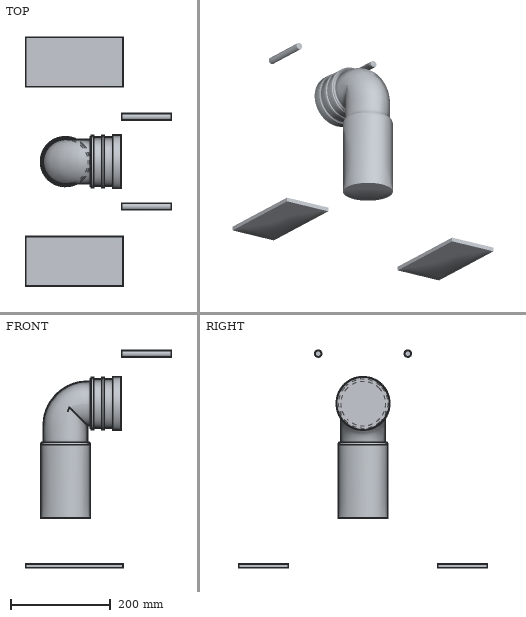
import cadquery as cq

BEND_DIAMETER = 89.5
BEND_RADIUS = 45.0

INLET_DIAMETER = 100.0
INLET_BOTTOM = -230.5
INLET_SHOULDER = -78.0
INLET_CHAMFER_HEIGHT = 5.0
INLET_CHAMFER_INSET = 2.0

SOCKET_DIAMETER = 99.0
SOCKET_START = 50.0
SOCKET_END = 112.0
RIB_DIAMETER = 105.0
RIB_WIDTH = 5.0
RIB_STARTS = (52.0, 73.0)
COLLAR_DIAMETER = 107.45
COLLAR_LENGTH = 17.0

ROD_DIAMETER = 13.5
ROD_LENGTH = 100.0
ROD_START = 113.0
ROD_SPACING = 180.0
ROD_HEIGHT = 100.0

OVERALL_LENGTH = 293.25
PLATE_LENGTH = 196.0
PLATE_WIDTH = 100.0
PLATE_THICKNESS = 8.0
PLATE_START = ROD_START + ROD_LENGTH - OVERALL_LENGTH
PLATE_SPACING = 400.0
PLATE_DROP = 100.0


def bar_along_x(diameter, start, end):
    """Round bar on the X axis between two X positions."""
    return cq.Workplane("YZ").workplane(offset=start).circle(diameter / 2).extrude(end - start)


def bar_along_z(diameter, bottom, top):
    """Round bar on the Z axis between two heights."""
    return cq.Workplane("XY").workplane(offset=bottom).circle(diameter / 2).extrude(top - bottom)


def make_bend():
    """Quarter bend: rounded outside, with the two straight pipes meeting in a miter inside."""
    upright = bar_along_z(BEND_DIAMETER, -BEND_RADIUS, BEND_DIAMETER)
    level = bar_along_x(BEND_DIAMETER, -BEND_DIAMETER, BEND_RADIUS)
    center_line = cq.Workplane("XZ").moveTo(0, -BEND_RADIUS).radiusArc((BEND_RADIUS, 0), BEND_RADIUS)
    swept_bend = (
        cq.Workplane("XY", origin=(0, 0, -BEND_RADIUS))
        .circle(BEND_DIAMETER / 2)
        .sweep(center_line)
    )
    return swept_bend.intersect(upright.union(level))


def make_inlet():
    """Neck below the bend and the wider inlet pipe with its chamfered shoulder."""
    neck = bar_along_z(BEND_DIAMETER, INLET_BOTTOM, -BEND_RADIUS)
    pipe = bar_along_z(INLET_DIAMETER, INLET_BOTTOM, INLET_SHOULDER)
    pipe = pipe.faces(">Z").chamfer(INLET_CHAMFER_HEIGHT, INLET_CHAMFER_INSET)
    return neck.union(pipe)


def make_socket():
    """Neck beyond the bend and the wider socket with its two ribs and end collar."""
    neck = bar_along_x(BEND_DIAMETER, BEND_RADIUS, SOCKET_END)
    socket = neck.union(bar_along_x(SOCKET_DIAMETER, SOCKET_START, SOCKET_END))
    for start in RIB_STARTS:
        socket = socket.union(bar_along_x(RIB_DIAMETER, start, start + RIB_WIDTH))
    return socket.union(bar_along_x(COLLAR_DIAMETER, SOCKET_END - COLLAR_LENGTH, SOCKET_END))


def make_elbow():
    """Whole elbow fitting as one solid."""
    return make_bend().union(make_inlet()).union(make_socket())


def make_rod(y):
    """Rod parallel to X."""
    return bar_along_x(ROD_DIAMETER, ROD_START, ROD_START + ROD_LENGTH).translate((0, y, ROD_HEIGHT))


def make_plate(y):
    """Flat rectangular plate; its underside lies a fixed drop below the inlet end."""
    return (
        cq.Workplane("XY")
        .box(PLATE_LENGTH, PLATE_WIDTH, PLATE_THICKNESS, centered=(False, True, False))
        .translate((PLATE_START, y, INLET_BOTTOM - PLATE_DROP))
    )


elbow = make_elbow()
bodies = [elbow.solids().val()]
for side in (-1, 1):
    rod = make_rod(side * ROD_SPACING / 2)
    plate = make_plate(side * PLATE_SPACING / 2)
    bodies += [rod.val(), plate.val()]

result = cq.Compound.makeCompound(bodies)